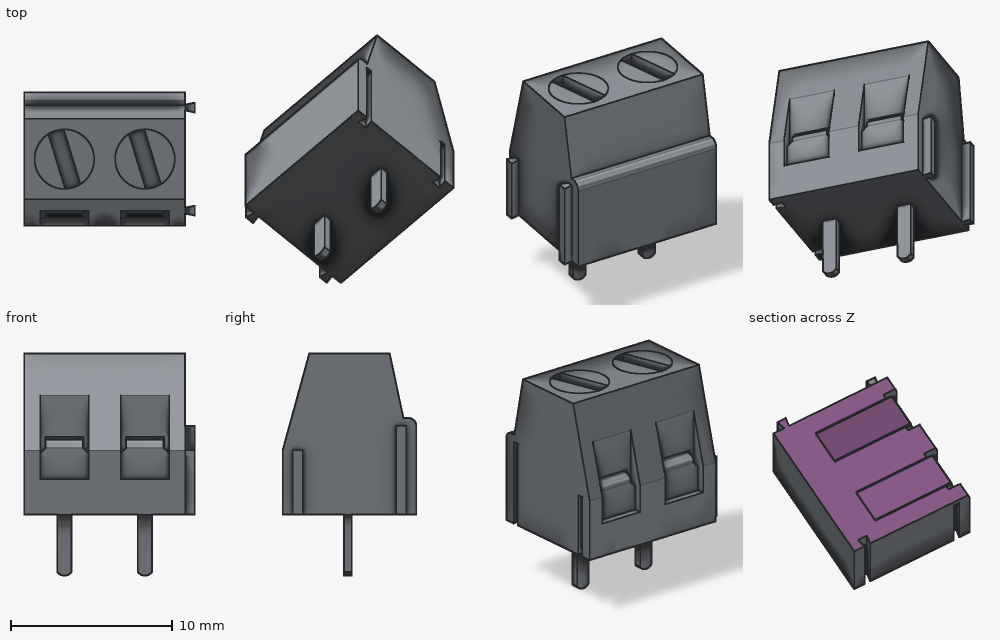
import cadquery as cq
import math


pole_count = 2
pitch = 5.0
housing_length = pole_count * pitch
housing_depth = 8.3
housing_height = 10.0
top_front_y = 1.65
top_back_y = 6.65
front_slope_start_z = 4.0
shelf_z = 6.0
shelf_front_y = 7.5
shelf_fillet = 0.5
pole_centers = [pitch * (index + 0.5) for index in range(pole_count)]

joint_centers_y = [0.95, 7.35]
joint_heights = [4.0, 5.5]
dovetail_depth = 0.6
dovetail_neck = 0.38
dovetail_wide = 0.62

window_width = 3.0
window_floor_z = 2.2
window_back_y = 0.94

plate_front_y = 0.5
shoulder_z = 4.15
shoulder_chamfer = 0.35
leaf_width = window_width - 2 * shoulder_chamfer
bend_radius = 0.5
leaf_top_z = shoulder_z + bend_radius
leaf_slot_width = 2.4
leaf_slot_top_z = 4.82

screw_diameter = 3.7
screw_radius = screw_diameter / 2
screw_y = (top_front_y + top_back_y) / 2
drive_slot_width = 1.0
drive_slot_depth = 0.75
drive_slot_angle = 17.0
leaf_back_y = screw_y + screw_radius

pin_width = 0.9
pin_thickness = 0.5
pin_y = 4.05
pin_length = 3.8
pin_tip_rise = 0.25


def box(x_range, y_range, z_range):
    """Box given by its limits along each axis."""
    lows, highs = zip(x_range, y_range, z_range)
    sizes = [high - low for low, high in zip(lows, highs)]
    return cq.Workplane("XY").box(*sizes, centered=False).translate(lows)


def centered_span(center, width):
    return (center - width / 2, center + width / 2)


def make_dovetail(face_x, center_y, height):
    """Dovetail prism standing on Z = 0, narrow at face_x and widening toward +X."""
    outer_x = face_x + dovetail_depth
    return (
        cq.Workplane("XY")
        .polyline([
            (face_x, center_y - dovetail_neck / 2),
            (outer_x, center_y - dovetail_wide / 2),
            (outer_x, center_y + dovetail_wide / 2),
            (face_x, center_y + dovetail_neck / 2),
        ])
        .close()
        .extrude(height)
    )


def make_plate(center_x):
    """Window plate with chamfered top corners."""
    return (
        box(
            centered_span(center_x, window_width),
            (plate_front_y, window_back_y),
            (window_floor_z, shoulder_z),
        )
        .edges("|Y and >Z")
        .chamfer(shoulder_chamfer)
    )


def make_leaf(center_x):
    """Window plate joined to the narrower leaf that bends back over its top edge."""
    bend_center_y = plate_front_y + bend_radius
    bend_middle = bend_radius * math.sqrt(0.5)
    leaf_strip = (
        cq.Workplane("YZ")
        .moveTo(plate_front_y, window_floor_z)
        .lineTo(plate_front_y, shoulder_z)
        .threePointArc(
            (bend_center_y - bend_middle, shoulder_z + bend_middle),
            (bend_center_y, leaf_top_z),
        )
        .lineTo(leaf_back_y, leaf_top_z)
        .lineTo(leaf_back_y, shoulder_z)
        .lineTo(window_back_y, shoulder_z)
        .lineTo(window_back_y, window_floor_z)
        .close()
        .extrude(leaf_width / 2, both=True)
        .translate((center_x, 0, 0))
    )
    return make_plate(center_x).union(leaf_strip)


def make_screw_blank(center_x):
    """Full screw cylinder, from the top of the leaf to the top of the housing."""
    return (
        cq.Workplane("XY", origin=(center_x, screw_y, leaf_top_z))
        .circle(screw_radius)
        .extrude(housing_height - leaf_top_z)
    )


def make_screw(center_x):
    """Screw flush with the housing top, with a turned drive slot across it."""
    drive_slot = (
        cq.Workplane("XY", origin=(center_x, screw_y, housing_height - drive_slot_depth))
        .transformed(rotate=(0, 0, drive_slot_angle))
        .rect(drive_slot_width, 2 * screw_diameter)
        .extrude(drive_slot_depth)
    )
    return make_screw_blank(center_x).cut(drive_slot)


def make_pin(center_x):
    """Flat pin with a rounded tip, reaching up to the underside of the leaf."""
    half_width = pin_width / 2
    tip_start_z = pin_tip_rise - pin_length
    return (
        cq.Workplane("XZ")
        .moveTo(-half_width, shoulder_z)
        .lineTo(-half_width, tip_start_z)
        .threePointArc((0, -pin_length), (half_width, tip_start_z))
        .lineTo(half_width, shoulder_z)
        .close()
        .extrude(pin_thickness / 2, both=True)
        .translate((center_x, pin_y, 0))
    )


def make_housing_block():
    """Sloped housing profile with a rounded shelf along the back."""
    return (
        cq.Workplane("YZ")
        .polyline([
            (0, 0),
            (0, front_slope_start_z),
            (top_front_y, housing_height),
            (top_back_y, housing_height),
            (shelf_front_y, shelf_z),
            (housing_depth, shelf_z),
            (housing_depth, 0),
        ])
        .close()
        .extrude(housing_length)
        .edges(cq.selectors.NearestToPointSelector((housing_length / 2, housing_depth, shelf_z)))
        .fillet(shelf_fillet)
    )


def cut_pole(housing, center_x):
    """Cut the window, leaf slot, screw hole and pin hole of one pole."""
    window = box(
        centered_span(center_x, window_width),
        (0, window_back_y),
        (window_floor_z, housing_height),
    )
    leaf_slot = box(
        centered_span(center_x, leaf_slot_width),
        (0, leaf_back_y),
        (shoulder_z, leaf_slot_top_z),
    )
    return (
        housing.cut(window)
        .cut(leaf_slot)
        .cut(make_screw_blank(center_x))
        .cut(make_pin(center_x))
    )


def make_housing():
    """Housing with grooves on its -X end, matching ribs on its +X end, and all poles cut."""
    housing = make_housing_block()
    for center_y, height in zip(joint_centers_y, joint_heights):
        housing = housing.cut(make_dovetail(0, center_y, height))
        housing = housing.union(make_dovetail(housing_length, center_y, height))
    for center_x in pole_centers:
        housing = cut_pole(housing, center_x)
    return housing


housing = make_housing()
screws = [make_screw(center_x) for center_x in pole_centers]
leaves = [make_leaf(center_x) for center_x in pole_centers]
pins = [make_pin(center_x) for center_x in pole_centers]

result = cq.Compound.makeCompound([
    housing.val(),
    *[screw.val() for screw in screws],
    *[leaf.val() for leaf in leaves],
    *[pin.val() for pin in pins],
])